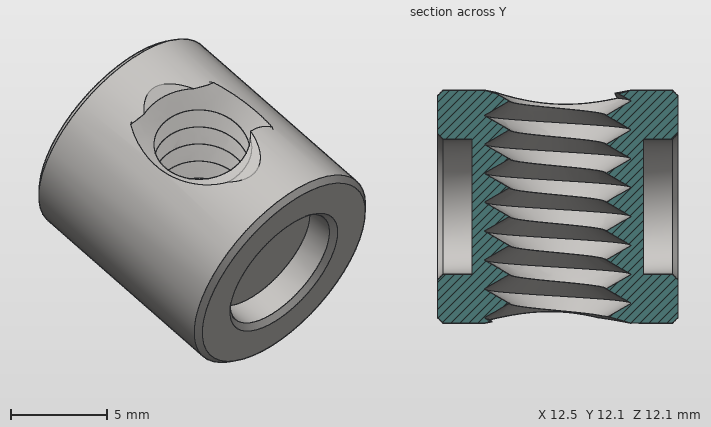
import cadquery as cq
import math

length = 12.5
body_diameter = 12.1
edge_chamfer = 0.3

recess_diameter = 7.0
recess_depth = 1.8

bore_diameter = 5.0
pitch = 1.5
thread_angle = 60
turn_gap = 0.005
groove_overlap = 0.005
root_height = 0.24
turns_each_way = 5

mouth_depth = 0.38

body_radius = body_diameter / 2
bore_radius = bore_diameter / 2
groove_half_width = (pitch - turn_gap) / 2
groove_inner_radius = bore_radius - groove_overlap
root_radius = groove_inner_radius + groove_half_width / math.tan(math.radians(thread_angle / 2))


def make_barrel():
    barrel = cq.Workplane("YZ").workplane(offset=-length / 2).circle(body_radius).extrude(length)
    return barrel.faces("<X or >X").chamfer(edge_chamfer)


def make_end_recess():
    """Recess at the -X end with a 45 degree chamfer around its mouth."""
    wall_radius = recess_diameter / 2
    half_section = [
        (-length / 2, 0),
        (-length / 2, wall_radius + edge_chamfer),
        (-length / 2 + edge_chamfer, wall_radius),
        (-length / 2 + recess_depth, wall_radius),
        (-length / 2 + recess_depth, 0),
    ]
    return cq.Workplane("XY").polyline(half_section).close().revolve(360, (0, 0, 0), (1, 0, 0))


def make_bore():
    """Plain bore that opens into a shallow cone at the top and at the bottom."""
    cone_run = 2 * mouth_depth
    cone_start = body_radius - mouth_depth
    cone_end = cone_start + cone_run
    cone_end_radius = bore_radius + 2 * (root_radius - bore_radius)
    half_section = [
        (0, -cone_end),
        (cone_end_radius, -cone_end),
        (bore_radius, -cone_start),
        (bore_radius, cone_start),
        (cone_end_radius, cone_end),
        (0, cone_end),
    ]
    return cq.Workplane("XZ").polyline(half_section).close().revolve(360, (0, 0, 0), (0, 1, 0))


def make_thread_groove():
    """Sharp V groove swept along a helix; its inner edges lie inside the bore."""
    start_height = root_height - turns_each_way * pitch
    helix = cq.Wire.makeHelix(pitch, 2 * turns_each_way * pitch, bore_radius)
    profile = [
        (groove_inner_radius, -groove_half_width),
        (root_radius, 0),
        (groove_inner_radius, groove_half_width),
    ]
    groove = cq.Workplane("XZ").polyline(profile).close().sweep(cq.Workplane(helix), isFrenet=True)
    return groove.translate((0, 0, start_height))


end_recess = make_end_recess()
result = (
    make_barrel()
    .cut(end_recess)
    .cut(end_recess.mirror("YZ"))
    .cut(make_thread_groove())
    .cut(make_bore())
)